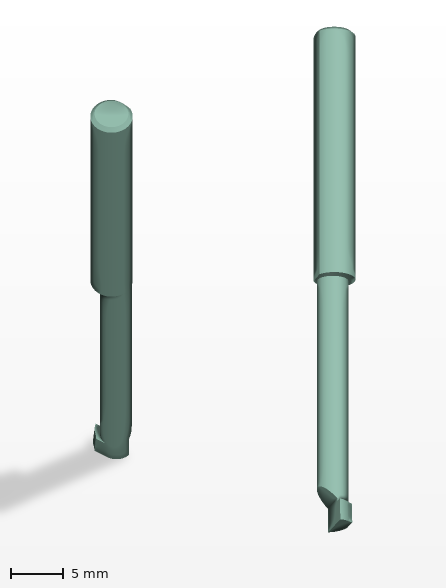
import cadquery as cq
import math

total_length = 50.0
shank_length = 25.0
shank_radius = 2.0
flat_offset = 1.75
chamfer_radial = 0.4
chamfer_height = 0.35
neck_radius = 1.5
relief_start = 4.0
relief_end = 2.5
head_top = 2.2
head_lean = 0.2
flank_shoulder = (-1.3, -1.05)
flank_bulge = 0.1
heel_x = -0.95
end_clearance = 0.2
end_rise = 0.15
margin = 0.5

neck_x = shank_radius - neck_radius
shank_base = total_length - shank_length
back_y = -neck_radius


def make_shank():
    """Chamfered round shank with one full-length flat."""
    profile = [
        (0, shank_base),
        (shank_radius, shank_base),
        (shank_radius, total_length - chamfer_height),
        (shank_radius - chamfer_radial, total_length),
        (0, total_length),
    ]
    shank = cq.Workplane("XZ").polyline(profile).close().revolve(360, (0, 0), (0, 1))
    flat_cut = cq.Workplane("XY").box(
        2 * shank_radius, shank_radius, shank_length, centered=(True, False, False)
    )
    return shank.cut(flat_cut.translate((0, flat_offset, shank_base)))


def make_neck():
    """Eccentric neck, halved near its end to expose the rake face at Y = 0."""
    neck = cq.Workplane("XY").center(neck_x, 0).circle(neck_radius).extrude(shank_base)
    slope = (relief_start - relief_end) / neck_radius
    relief_profile = [
        (0, -margin),
        (0, relief_end),
        (neck_radius + margin, relief_start + slope * margin),
        (neck_radius + margin, -margin),
    ]
    relief = cq.Workplane("YZ").polyline(relief_profile).close().extrude(shank_radius + margin, both=True)
    return neck.cut(relief)


def draw_head_outline(plane, shift):
    """Draw the head cross-section with its curved flank moved along X by shift."""
    tip_x = -shank_radius + shift
    shoulder_x = flank_shoulder[0] + shift
    shoulder_y = flank_shoulder[1]
    chord_x = shoulder_x - tip_x
    chord = math.hypot(chord_x, shoulder_y)
    flank_middle = (
        (tip_x + shoulder_x) / 2 + flank_bulge * shoulder_y / chord,
        shoulder_y / 2 - flank_bulge * chord_x / chord,
    )
    return (
        plane.moveTo(tip_x, 0)
        .threePointArc(flank_middle, (shoulder_x, shoulder_y))
        .lineTo(heel_x + shift, back_y)
        .lineTo(neck_x, back_y)
        .lineTo(neck_x, 0)
        .close()
    )


def make_head():
    """Cutting head with a flank that leans inward toward its top."""
    bottom = draw_head_outline(cq.Workplane("XY"), 0)
    top = draw_head_outline(bottom.workplane(offset=head_top, origin=(0, 0, 0)), head_lean)
    return top.loft(ruled=True)


def make_end_clearance():
    """Wedge that tilts the end face away from the cutting edge."""
    clearance_slope = end_clearance / back_y
    front_y = margin
    rear_y = back_y - margin
    wedge_profile = [
        (front_y, clearance_slope * front_y),
        (rear_y, clearance_slope * rear_y),
        (rear_y, -margin),
        (front_y, -margin),
    ]
    wedge = cq.Workplane("YZ").polyline(wedge_profile).close()
    wedge = wedge.extrude(shank_radius + margin, both=True)
    tilt = math.degrees(math.atan2(end_rise, 2 * shank_radius))
    return wedge.rotate((-shank_radius, 0, 0), (-shank_radius, 1, 0), -tilt)


result = make_shank().union(make_neck()).union(make_head()).cut(make_end_clearance())